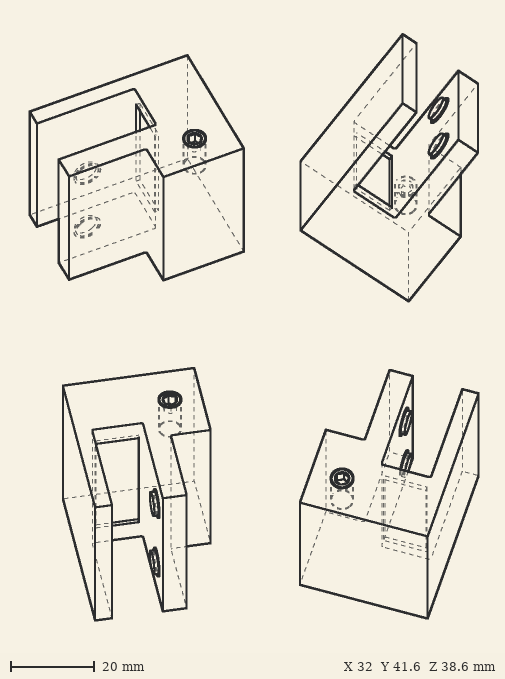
import cadquery as cq
import math

WIDTH = 32.0
DEPTH = 41.6
HEIGHT = 38.6

OUTER_LEG = 4.1
SLOT_WIDTH = 12.35
INNER_LEG = 5.82
SLOT_BACK_WALL = 15.9
SHOULDER_BLOCK = 21.2
CORNER_RADIUS = 0.5

slot_right = OUTER_LEG + SLOT_WIDTH
inner_leg_right = slot_right + INNER_LEG
slot_floor = DEPTH - SLOT_BACK_WALL
shoulder = DEPTH - SHOULDER_BLOCK

RECESS_SIDE_MARGIN = 0.9
RECESS_END_MARGIN = 5.0
RECESS_DEPTH = 1.0

SCREW_X = 24.3
SCREW_FROM_BACK = 9.4
SCREW_DIAMETER = 5.0
SLEEVE_DIAMETER = 5.5
SCREW_LENGTH = 10.0
SOCKET_ACROSS_FLATS = 2.95
SOCKET_TURN = 30.0
SOCKET_DEPTH = 3.0
SOCKET_TIP_ANGLE = 120.0
SOCKET_RIM_DIAMETER = 3.45
SOCKET_RIM_ANGLE = 90.0

BUTTON_FROM_TIP = 7.57
BUTTON_SPACING = 19.95
BUTTON_DIAMETER = 5.82
BUTTON_PROTRUSION = 1.15
WASHER_DIAMETER = 7.05
WASHER_THICKNESS = 0.15
WASHER_CHAMFER = 0.1

top_face = HEIGHT / 2
screw_y = DEPTH - SCREW_FROM_BACK
button_heights = [-BUTTON_SPACING / 2, BUTTON_SPACING / 2]


def vertical_cylinder(diameter, length):
    """Cylinder on the screw axis, running down from the top face."""
    return (
        cq.Workplane("XY", origin=(SCREW_X, screw_y, top_face))
        .circle(diameter / 2)
        .extrude(-length)
    )


def slot_side_disc(diameter, thickness, height):
    """Disc standing on the inner leg's slot face, pointing toward -X."""
    return (
        cq.Workplane("YZ", origin=(slot_right, BUTTON_FROM_TIP, height))
        .circle(diameter / 2)
        .extrude(-thickness)
    )


def make_housing():
    outline = [
        (0, 0),
        (OUTER_LEG, 0),
        (OUTER_LEG, slot_floor),
        (slot_right, slot_floor),
        (slot_right, 0),
        (inner_leg_right, 0),
        (inner_leg_right, shoulder),
        (WIDTH, shoulder),
        (WIDTH, DEPTH),
        (0, DEPTH),
    ]
    body = cq.Workplane("XY", origin=(0, 0, -HEIGHT / 2)).polyline(outline).close().extrude(HEIGHT)

    for x, y in [(OUTER_LEG, slot_floor), (slot_right, slot_floor), (inner_leg_right, shoulder)]:
        body = body.edges(cq.selectors.NearestToPointSelector((x, y, 0))).fillet(CORNER_RADIUS)

    recess = cq.Workplane("XY").box(
        SLOT_WIDTH - 2 * RECESS_SIDE_MARGIN,
        RECESS_DEPTH,
        HEIGHT - 2 * RECESS_END_MARGIN,
        centered=(True, False, True),
    ).translate((OUTER_LEG + SLOT_WIDTH / 2, slot_floor, 0))

    return body.cut(recess).cut(vertical_cylinder(SLEEVE_DIAMETER, SCREW_LENGTH))


def make_sleeve():
    outside = vertical_cylinder(SLEEVE_DIAMETER, SCREW_LENGTH)
    return outside.cut(vertical_cylinder(SCREW_DIAMETER, SCREW_LENGTH))


def make_set_screw():
    corner_radius = SOCKET_ACROSS_FLATS / math.sqrt(3)
    rim_radius = SOCKET_RIM_DIAMETER / 2
    tip_depth = corner_radius / math.tan(math.radians(SOCKET_TIP_ANGLE / 2))
    rim_depth = rim_radius / math.tan(math.radians(SOCKET_RIM_ANGLE / 2))
    axis_top = cq.Vector(SCREW_X, screw_y, top_face)
    down = cq.Vector(0, 0, -1)

    hexagon = (
        cq.Workplane("XY", origin=axis_top.toTuple())
        .transformed(rotate=(0, 0, SOCKET_TURN))
        .polygon(6, 2 * corner_radius)
        .extrude(-SOCKET_DEPTH - tip_depth)
    )
    drill = vertical_cylinder(2 * corner_radius, SOCKET_DEPTH).union(
        cq.Workplane(cq.Solid.makeCone(corner_radius, 0, tip_depth, axis_top + down * SOCKET_DEPTH, down))
    )
    rim = cq.Workplane(cq.Solid.makeCone(rim_radius, 0, rim_depth, axis_top, down))

    screw = vertical_cylinder(SCREW_DIAMETER, SCREW_LENGTH)
    return screw.cut(hexagon.intersect(drill)).cut(rim)


def make_button(height):
    return slot_side_disc(BUTTON_DIAMETER, BUTTON_PROTRUSION, height)


def make_washer(height):
    outside = slot_side_disc(WASHER_DIAMETER, WASHER_THICKNESS, height)
    outside = outside.faces("<X").edges().chamfer(WASHER_CHAMFER)
    return outside.cut(slot_side_disc(BUTTON_DIAMETER, WASHER_THICKNESS, height))


housing = make_housing()
sleeve = make_sleeve()
set_screw = make_set_screw()
buttons = [make_button(height) for height in button_heights]
washers = [make_washer(height) for height in button_heights]

result = cq.Compound.makeCompound(
    [housing.val(), sleeve.val(), set_screw.val()]
    + [button.val() for button in buttons]
    + [washer.val() for washer in washers]
)